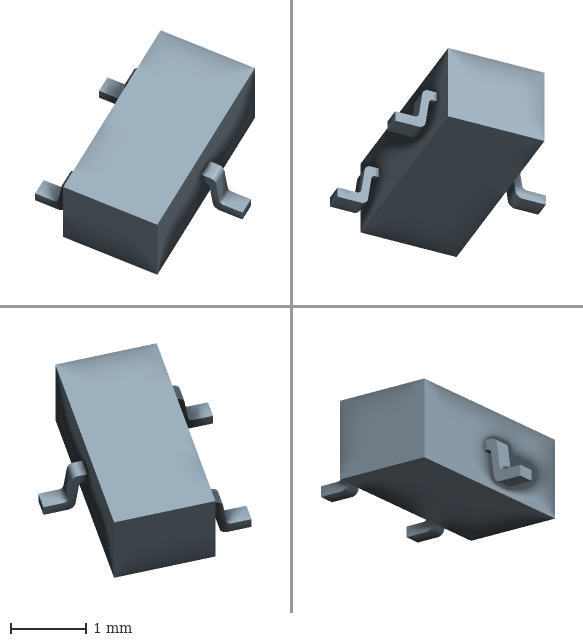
import cadquery as cq
import math

body_width = 1.4
body_length = 2.9
body_height = 1.12

lead_span = 2.61
lead_width = 0.25
lead_pitch = 1.9
foot_thickness = 0.155
shoulder_top = 0.635
shoulder_thickness = 0.142
shoulder_length = 0.122
leg_lean = math.radians(8)
leg_thickness = 0.113

shoulder_outer_radius = 0.09
shoulder_inner_radius = 0.065
foot_upper_radius = 0.067
foot_lower_radius = 0.107

body_face = body_width / 2
lead_tip = lead_span / 2
shoulder_bottom = shoulder_top - shoulder_thickness

bend_tangent = shoulder_outer_radius * math.tan((math.pi / 2 - leg_lean) / 2)
leg_top_x = body_face + shoulder_length + bend_tangent


def leg_outer_x(z):
    """X of the leg's outer face, extended straight, at height z."""
    return leg_top_x + (shoulder_top - z) * math.tan(leg_lean)


def leg_inner_x(z):
    """X of the leg's inner face, extended straight, at height z."""
    return leg_outer_x(z) - leg_thickness


def make_lead(y_center):
    """Lead leaving the +X face of the body, centered on y_center."""
    shoulder_outer_corner = (leg_outer_x(shoulder_top), shoulder_top)
    foot_upper_corner = (leg_outer_x(foot_thickness), foot_thickness)
    foot_lower_corner = (leg_inner_x(0), 0)
    shoulder_inner_corner = (leg_inner_x(shoulder_bottom), shoulder_bottom)

    lead = (
        cq.Workplane("XZ", origin=(0, y_center, 0))
        .moveTo(body_face, shoulder_top)
        .lineTo(*shoulder_outer_corner)
        .lineTo(*foot_upper_corner)
        .lineTo(lead_tip, foot_thickness)
        .lineTo(lead_tip, 0)
        .lineTo(*foot_lower_corner)
        .lineTo(*shoulder_inner_corner)
        .lineTo(body_face, shoulder_bottom)
        .close()
        .extrude(lead_width / 2, both=True)
    )
    bends = [
        (shoulder_outer_corner, shoulder_outer_radius),
        (foot_upper_corner, foot_upper_radius),
        (foot_lower_corner, foot_lower_radius),
        (shoulder_inner_corner, shoulder_inner_radius),
    ]
    for (x, z), radius in bends:
        corner_edge = cq.selectors.NearestToPointSelector((x, y_center, z))
        lead = lead.edges("|Y").edges(corner_edge).fillet(radius)
    return lead


body = cq.Workplane("XY").box(body_width, body_length, body_height, centered=(True, True, False))

result = body.union(make_lead(0))
for side in (-1, 1):
    result = result.union(make_lead(side * lead_pitch / 2).mirror("YZ"))